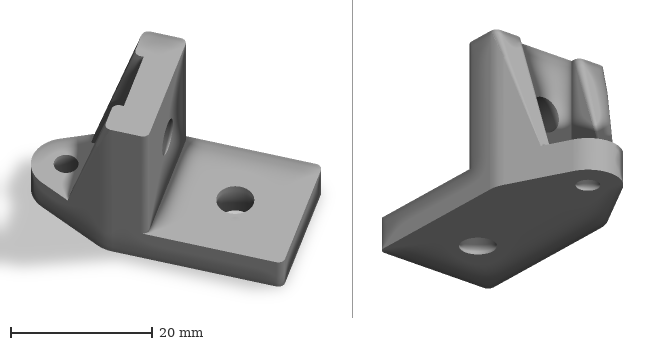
import cadquery as cq
import math

length = 39.98
width = 20.0
plate_thickness = 5.0
nose_radius = 5.0
nose_hole_diameter = 3.5
main_hole_diameter = 5.4
tail_hole_x = 30.0
corner_radius = 1.0
shoulder_radius = 5.0

height = 25.0
wall_back_x = 20.0
channel_face_x = 15.0
channel_width = 10.0
rib_foot_x = 7.25
rib_top_x = 13.495
wall_hole_z = plate_thickness + (height - plate_thickness) / 2
rib_round_radius = 1.0
cut_margin = 3.2

half_width = width / 2
shoulder_x = rib_top_x
corner_dx = shoulder_x - nose_radius
flank_angle = (math.atan2(half_width, corner_dx)
               - math.asin(nose_radius / math.hypot(corner_dx, half_width)))
flank_normal_x = -math.sin(flank_angle)
flank_normal_y = math.cos(flank_angle)
nose_tangent_x = nose_radius * (1 + flank_normal_x)
nose_tangent_y = nose_radius * flank_normal_y

shoulder_center_x = shoulder_x + shoulder_radius * math.tan(flank_angle / 2)
shoulder_center_y = half_width - shoulder_radius
shoulder_start_x = shoulder_center_x + shoulder_radius * flank_normal_x


def outline(end_x):
    """Plan outline from the nose to a straight end, with rounded corners."""
    return (
        cq.Workplane("XY")
        .moveTo(nose_tangent_x, -nose_tangent_y)
        .lineTo(shoulder_x, -half_width)
        .lineTo(end_x, -half_width)
        .lineTo(end_x, half_width)
        .lineTo(shoulder_x, half_width)
        .lineTo(nose_tangent_x, nose_tangent_y)
        .threePointArc((0, 0), (nose_tangent_x, -nose_tangent_y))
        .close()
    )


def plan_prism(end_x, prism_height):
    prism = outline(end_x).extrude(prism_height)
    prism = prism.edges("|Z").edges(">X").fillet(corner_radius)
    shoulder_edges = cq.selectors.BoxSelector(
        (shoulder_x - 0.4, -width, -0.4), (shoulder_x + 0.4, width, height + 0.4)
    )
    return prism.edges("|Z").edges(shoulder_edges).fillet(shoulder_radius)


def upright():
    """Full-height prism trimmed by the rib slope and the central channel."""
    side_profile = (
        cq.Workplane("XZ")
        .moveTo(rib_foot_x, 0)
        .lineTo(rib_foot_x, plate_thickness)
        .lineTo(rib_top_x, height)
        .lineTo(wall_back_x, height)
        .lineTo(wall_back_x, 0)
        .close()
        .extrude(half_width, both=True)
    )
    channel = cq.Workplane("XY").box(
        channel_face_x, channel_width, height, centered=(False, True, False)
    ).translate((0, 0, plate_thickness))
    return plan_prism(wall_back_x, height).intersect(side_profile).cut(channel)


def cutter_section(fraction, center_y, normal_x, normal_y):
    """Region outside a rounding arc, at a fraction of the way up the rib.

    The arc runs from the slope to the side face with the given outward normal.
    """
    z = plate_thickness + fraction * (height - plate_thickness)
    slope_x = rib_foot_x + fraction * (rib_top_x - rib_foot_x)
    radius = fraction * rib_round_radius
    margin = fraction * cut_margin
    center_x = slope_x + radius
    middle_length = math.hypot(normal_x - 1, normal_y)
    middle_x = center_x + radius * (normal_x - 1) / middle_length
    middle_y = center_y + radius * normal_y / middle_length
    tangent_x = center_x + radius * normal_x
    tangent_y = center_y + radius * normal_y
    outer_x = tangent_x + margin * normal_x
    outer_y = tangent_y + margin * normal_y
    return (
        cq.Workplane("XY", origin=(0, 0, z))
        .moveTo(slope_x, center_y)
        .threePointArc((middle_x, middle_y), (tangent_x, tangent_y))
        .lineTo(outer_x, outer_y)
        .lineTo(slope_x - margin, outer_y)
        .lineTo(slope_x - margin, center_y)
        .close()
        .val()
    )


def inner_round():
    """Tapered rounding between the slope and the channel side."""
    section = cutter_section(1, channel_width / 2 + rib_round_radius, 0, -1)
    foot = cq.Vertex.makeVertex(rib_foot_x, channel_width / 2, plate_thickness)
    return cq.occ_impl.shapes.loft(foot, section, cap=True, ruled=True)


def outer_round_parts():
    """Tapered rounding along the flank, then along the curved shoulder."""
    foot_y = half_width - (shoulder_x - rib_foot_x) * math.tan(flank_angle)
    foot = cq.Vertex.makeVertex(rib_foot_x, foot_y, plate_thickness)

    rise_x = rib_top_x - rib_foot_x + rib_round_radius * (1 + flank_normal_x)
    break_fraction = (shoulder_start_x - rib_foot_x) / rise_x
    offset_radius = shoulder_radius - break_fraction * rib_round_radius
    break_y = shoulder_center_y + offset_radius * flank_normal_y
    break_section = cutter_section(break_fraction, break_y, flank_normal_x, flank_normal_y)

    top_radius = shoulder_radius - rib_round_radius
    top_normal_x = (rib_top_x + rib_round_radius - shoulder_center_x) / top_radius
    top_normal_y = math.sqrt(1 - top_normal_x ** 2)
    top_y = shoulder_center_y + top_radius * top_normal_y
    top_section = cutter_section(1, top_y, top_normal_x, top_normal_y)
    return [
        cq.occ_impl.shapes.loft(foot, break_section, cap=True, ruled=True),
        cq.occ_impl.shapes.loft(break_section, top_section, cap=True, ruled=True),
    ]


def vertical_hole(x, diameter):
    return cq.Workplane("XY").center(x, 0).circle(diameter / 2).extrude(plate_thickness)


wall = upright()
for cutter in [inner_round()] + outer_round_parts():
    wall = wall.cut(cq.Workplane(cutter))
    wall = wall.cut(cq.Workplane(cutter.mirror("XZ")))

wall_hole = (
    cq.Workplane("YZ")
    .center(0, wall_hole_z)
    .circle(main_hole_diameter / 2)
    .extrude(length)
)

result = (
    plan_prism(length, plate_thickness)
    .union(wall.cut(wall_hole))
    .cut(vertical_hole(nose_radius, nose_hole_diameter))
    .cut(vertical_hole(tail_hole_x, main_hole_diameter))
)